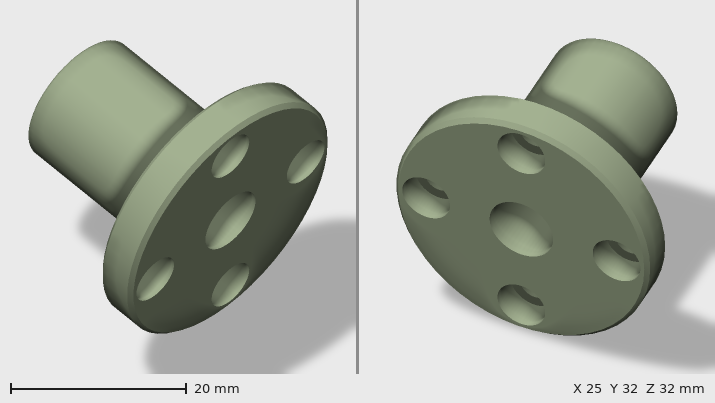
import cadquery as cq

total_length = 25.0
flange_diameter = 32.0
flange_thickness = 5.0
barrel_diameter = flange_diameter / 2
bore_diameter = flange_diameter / 4
edge_break = 0.5
relief_width = 0.5
relief_depth = 0.5
bolt_circle_diameter = 24.0
bolt_hole_diameter = 3.6
counterbore_diameter = 6.0
counterbore_depth = 3.5
bolt_hole_count = 4

flange_start = total_length - flange_thickness
barrel_length = flange_start - relief_width


def cylinder(start, length, diameter):
    """Solid cylinder on the X axis."""
    return cq.Workplane("YZ", origin=(start, 0, 0)).circle(diameter / 2).extrude(length)


barrel = cylinder(0, barrel_length, barrel_diameter).faces("<X").edges().fillet(edge_break)

neck_diameter = barrel_diameter - 2 * relief_depth
neck = cylinder(barrel_length / 2, total_length - barrel_length / 2, neck_diameter)

flange = cylinder(flange_start, flange_thickness, flange_diameter).edges().chamfer(edge_break)


def bolt_pattern(start, length, diameter):
    """Cylinders parallel to X, evenly spaced on the bolt circle."""
    return (
        cq.Workplane("YZ", origin=(start, 0, 0))
        .polarArray(bolt_circle_diameter / 2, 0, 360, bolt_hole_count)
        .circle(diameter / 2)
        .extrude(length)
    )


bore = cylinder(0, total_length, bore_diameter)
bolt_holes = bolt_pattern(flange_start, flange_thickness, bolt_hole_diameter)
counterbores = bolt_pattern(total_length - counterbore_depth, counterbore_depth, counterbore_diameter)

result = barrel.union(neck).union(flange).cut(bore).cut(bolt_holes).cut(counterbores)